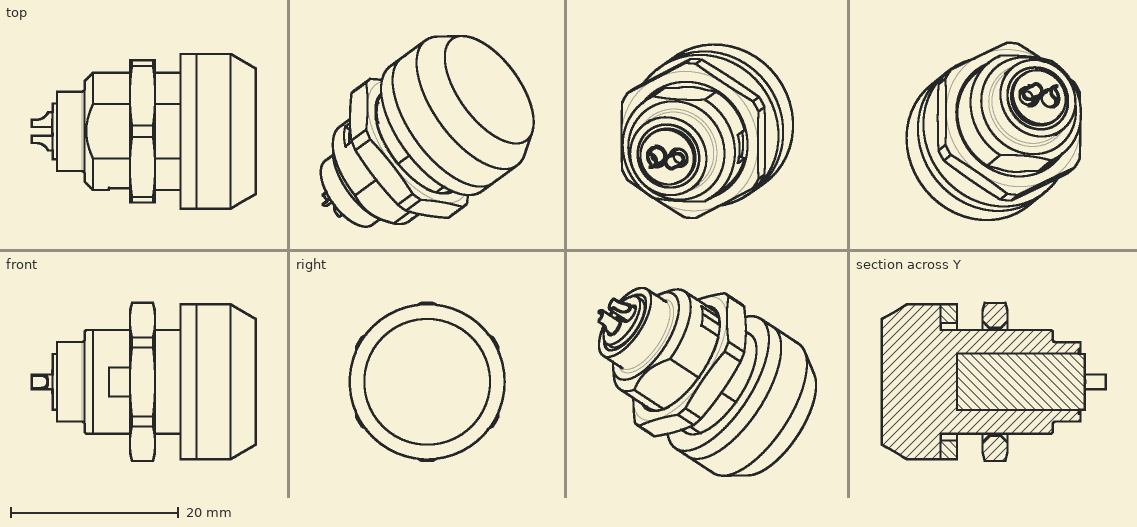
import cadquery as cq
import math


washer_thickness = 1.95

head_radius = 9.25
head_front_x = 9.0
head_front_radius = 7.5
head_cone_length = 3.0
barrel_radius = 7.0
barrel_length = 11.4
barrel_chamfer = 1.0
barrel_half_flats = 6.2
tube_radius = 4.75
tube_length = 3.3
tube_fillet = 0.3
tube_end_x = -(barrel_length + tube_length)

slot_width = 3.46
slot_start_x = -8.5
slot_floor_radius = 6.2

nut_front_x = -3.0
nut_thickness = 3.0
nut_rear_x = nut_front_x - nut_thickness
nut_across_flats = 17.0
nut_corner_radius = 9.445
nut_end_chamfer = 0.25
nut_bore_radius = 6.45
nut_countersink_radius = 7.23

insulator_radius = 3.33
insulator_protrusion = 0.5
insulator_rear_x = tube_end_x - insulator_protrusion
insulator_front_x = 0.0
insulator_length = insulator_front_x - insulator_rear_x
seat_recess_radius = 3.84
seat_recess_depth = 0.2

contact_offset = 1.4
contact_radius = 0.9
contact_protrusion = 2.5
contact_rear_x = insulator_rear_x - contact_protrusion
contact_length = insulator_front_x - contact_rear_x
contact_clearance_radius = 1.13
contact_clearance_depth = 0.5
cup_bore_radius = 0.72
cup_bore_depth = 3.0
cup_cut_length = 1.95
cup_cut_arc_radius = 1.5

mark_height = 0.08
mark_radius = 1.33
mark_bar_width = 0.26


def cylinder(x_start, length, radius, y=0.0):
    """Cylinder along X, starting at x_start and growing towards +X."""
    return cq.Workplane("YZ", origin=(x_start, y, 0)).circle(radius).extrude(length)


def box(x_range, y_range, z_size):
    """Box between two X and two Y positions, centred on z = 0."""
    (x0, x1), (y0, y1) = x_range, y_range
    outline = cq.Workplane("XY").polyline([(x0, y0), (x1, y0), (x1, y1), (x0, y1)]).close()
    return outline.extrude(z_size / 2, both=True)


def revolve_about_x(profile):
    """Full turn about the X axis of a closed profile drawn as (x, radius)."""
    return profile.close().revolve(360, (0, 0, 0), (1, 0, 0))


def make_barrel():
    """Threaded barrel up to the head, chamfered at the rear, with flats facing +Z and -Z."""
    barrel = cylinder(-barrel_length, barrel_length + washer_thickness, barrel_radius)
    barrel = barrel.faces("<X").chamfer(barrel_chamfer)
    x_range = (-barrel_length, washer_thickness)
    flats = box(x_range, (-barrel_radius, barrel_radius), 2 * barrel_half_flats)
    return barrel.intersect(flats).cut(make_slot())


def make_slot():
    """Keying slot with parallel sides and a floor concentric with the barrel."""
    slot = box((slot_start_x, nut_front_x), (-barrel_radius, 0), slot_width)
    return slot.cut(cylinder(slot_start_x, nut_front_x - slot_start_x, slot_floor_radius))


def make_tube():
    """Rear tube, flaring into the barrel through a concave fillet."""
    fillet_start_x = -barrel_length - tube_fillet
    fillet_mid_offset = tube_fillet * math.sqrt(0.5)
    profile = (
        cq.Workplane("XY")
        .moveTo(tube_end_x, 0)
        .lineTo(tube_end_x, tube_radius)
        .lineTo(fillet_start_x, tube_radius)
        .threePointArc(
            (fillet_start_x + fillet_mid_offset, tube_radius + tube_fillet - fillet_mid_offset),
            (-barrel_length, tube_radius + tube_fillet),
        )
        .lineTo(-barrel_length, 0)
    )
    return revolve_about_x(profile)


def make_head():
    """Head of the shell, seated on the washer and tapering towards its front face."""
    profile = (
        cq.Workplane("XY")
        .moveTo(washer_thickness, 0)
        .lineTo(washer_thickness, head_radius)
        .lineTo(head_front_x - head_cone_length, head_radius)
        .lineTo(head_front_x, head_front_radius)
        .lineTo(head_front_x, 0)
    )
    return revolve_about_x(profile)


def make_shell():
    """Head, barrel and tube in one piece, bored from the rear for the insulator."""
    shell = make_head().union(make_barrel()).union(make_tube())
    seat = cylinder(tube_end_x, insulator_front_x - tube_end_x, insulator_radius)
    recess = cylinder(tube_end_x, seat_recess_depth, seat_recess_radius)
    return shell.cut(seat).cut(recess)


def make_washer():
    """Plain round washer whose bore leaves a gap over the flats of the barrel."""
    return cylinder(0, washer_thickness, head_radius).cut(cylinder(0, washer_thickness, barrel_radius))


def make_nut():
    """Hexagonal nut with turned corners, a countersunk bore and flats facing +Y and -Y."""
    half_flats = nut_across_flats / 2
    hexagon = (
        cq.Workplane("YZ", origin=(nut_rear_x, 0, 0))
        .transformed(rotate=(0, 0, 90))
        .polygon(6, nut_across_flats / math.cos(math.pi / 6))
        .extrude(nut_thickness)
    )
    countersink = nut_countersink_radius - nut_bore_radius
    turned_profile = (
        cq.Workplane("XY")
        .moveTo(nut_rear_x, nut_countersink_radius)
        .lineTo(nut_rear_x, half_flats)
        .lineTo(nut_rear_x + nut_end_chamfer, nut_corner_radius)
        .lineTo(nut_front_x - nut_end_chamfer, nut_corner_radius)
        .lineTo(nut_front_x, half_flats)
        .lineTo(nut_front_x, nut_countersink_radius)
        .lineTo(nut_front_x - countersink, nut_bore_radius)
        .lineTo(nut_rear_x + countersink, nut_bore_radius)
    )
    return hexagon.intersect(revolve_about_x(turned_profile)).cut(make_barrel())


def make_insulator():
    """Insulating plug with two contact holes and a raised mark on its rear face."""
    insulator = cylinder(insulator_rear_x, insulator_length, insulator_radius)
    mark_rear_x = insulator_rear_x - mark_height
    mark_x_range = (mark_rear_x, insulator_rear_x)
    half_disc = cylinder(mark_rear_x, mark_height, mark_radius, contact_offset).intersect(
        box(mark_x_range, (contact_offset - mark_radius, contact_offset), 2 * mark_radius)
    )
    bar = box(mark_x_range, (-contact_offset, contact_offset), mark_bar_width)
    insulator = insulator.union(half_disc).union(bar)
    for side in (-1, 1):
        y = side * contact_offset
        hole = cylinder(mark_rear_x, insulator_front_x - mark_rear_x, contact_radius, y)
        clearance_length = mark_height + contact_clearance_depth
        clearance = cylinder(mark_rear_x, clearance_length, contact_clearance_radius, y)
        insulator = insulator.cut(hole).cut(clearance)
    return insulator


def make_contact(side):
    """Contact pin whose solder cup is cut open on the side away from the connector axis."""
    y = side * contact_offset
    contact = cylinder(contact_rear_x, contact_length, contact_radius, y)
    contact = contact.cut(cylinder(contact_rear_x, cup_bore_depth, cup_bore_radius, y))
    cut_end_x = contact_rear_x + cup_cut_length
    rise_left = cup_cut_arc_radius - contact_radius
    arc_length_x = math.sqrt(cup_cut_arc_radius**2 - rise_left**2)
    arc_start_x = cut_end_x - arc_length_x
    mid_angle = math.acos(rise_left / cup_cut_arc_radius) / 2
    arc_mid = (
        arc_start_x + cup_cut_arc_radius * math.sin(mid_angle),
        y + side * cup_cut_arc_radius * (1 - math.cos(mid_angle)),
    )
    outer_y = y + side * contact_radius
    cut = (
        cq.Workplane("XY")
        .moveTo(contact_rear_x, y)
        .lineTo(arc_start_x, y)
        .threePointArc(arc_mid, (cut_end_x, outer_y))
        .lineTo(contact_rear_x, outer_y)
        .close()
        .extrude(contact_radius, both=True)
    )
    return contact.cut(cut)


shell = make_shell()
washer = make_washer()
nut = make_nut()
insulator = make_insulator()
contacts = [make_contact(side) for side in (-1, 1)]

result = cq.Compound.makeCompound(
    [shell.val(), washer.val(), nut.val(), insulator.val()] + [contact.val() for contact in contacts]
)